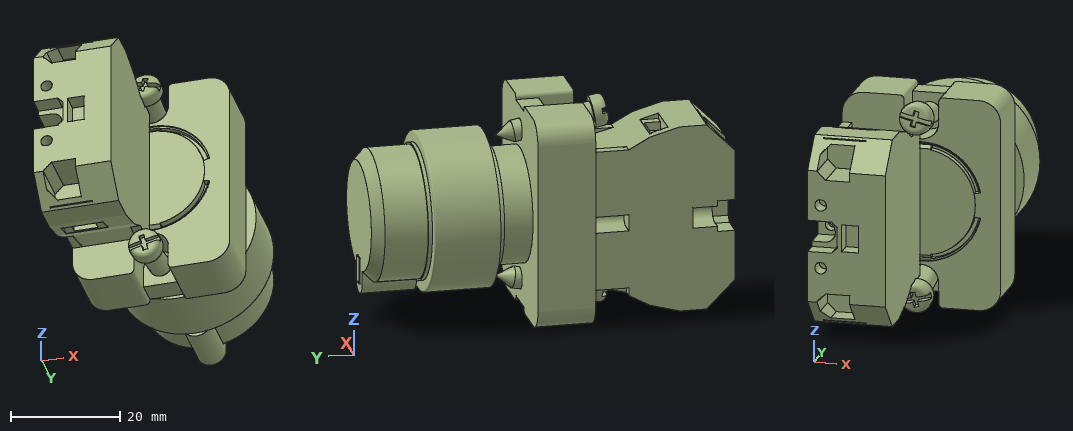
import cadquery as cq
import math


overall_length = 67.35

collar_width = 29.9
collar_height = 40.15
collar_rear = 26.1
collar_front = 37.0
collar_corner = 4.1
notch_width = 6.5
notch_bottom = 12.0
notch_edge_radius = 0.8
web_height = 19.0
web_rear = 32.65
bore_radius = 10.2
groove_radius = 11.05
groove_rim_radius = 11.4
groove_depth = 1.35
rim_depth = 0.35
bridge_half_angle = 12.5

neck_radius = 10.9
shoulder_rear = 42.55
shoulder_radius = 12.05
bezel_rear = 43.9
bezel_front = 56.2
bezel_radius = collar_width / 2
bezel_round = 0.35
seat_radius = 12.7
key_half_width = 1.75
key_height = 0.6

knob_rear = 57.0
marker_proud = 0.2
knob_front = overall_length - marker_proud
knob_radius = 12.4
knob_chamfer = 2.1
pointer_width = 5.5
marker_width = 2.1
marker_inner = 7.95
marker_outer = 12.9
marker_thickness = 0.7

screw_tilt = 10.1
screw_tip_y = 41.7
screw_tip_z = 13.55
shank_radius = 2.0
point_length = 3.4
shank_end = 18.4
head_radius = 3.0
head_height = 2.7
head_round = 1.0
drive_width = 0.95
drive_length = 2.95
drive_depth = 1.1
drive_turn = -13.0

block_left = -collar_width / 2
block_width = 14.7
block_right = block_left + block_width
waist_half = 14.15
waist_end = 19.9
flank_half = 16.3
flank_y = 15.95
belly_half = 17.85
belly_start = 10.4
belly_end = 5.3
face_half = 12.5
lip_width = 1.9
ramp_half = 12.6
hole_x = -12.45
hole_radius = 1.1
hole_spacing = 6.0
hole_depth = 3.4

terminal_left = -13.1
terminal_right = -7.0
terminal_low = 10.85
terminal_high = 16.55
terminal_corner = 1.6
terminal_depth = 8.1

window_left = -13.1
window_right = -5.2
window_front = 15.6
window_rear = 12.2
window_floor = 16.3
window_hole_left = -11.5
window_hole_right = -7.0
window_hole_front = 15.2
window_hole_depth = 2.7

channel_half = 1.95
channel_depth = 7.95
channel_hole_depth = 2.0
pocket_half = 2.95
pocket_right = -9.35
pocket_corner = 1.0
pocket_depth = 3.3
latch_half = 1.55
socket_left = -8.5
socket_right = -5.3
socket_half = 2.55
socket_depth = 3.4
slit_low = 17.3
slit_high = 17.45
slit_depth = 5.4


def box(x_range, y_range, z_range):
    """Axis-aligned block between pairs of limits."""
    low, high = zip(x_range, y_range, z_range)
    size = [b - a for a, b in zip(low, high)]
    return cq.Workplane("XY").box(*size, centered=False).translate(low)


def cylinder_y(radius, start, end, x=0, z=0):
    """Cylinder along Y from start to end."""
    return cq.Workplane("XZ", origin=(x, start, z)).circle(radius).extrude(start - end)


def prism_y(points, start, end):
    """Outline of (x, z) points carried along Y from start to end."""
    return cq.Workplane("XZ", origin=(0, start, 0)).polyline(points).close().extrude(start - end)


def prism_x(points, start, end):
    """Outline of (y, z) points carried along X from start to end."""
    return cq.Workplane("YZ", origin=(start, 0, 0)).polyline(points).close().extrude(end - start)


def mirrored_pair(shape):
    """The shape together with its reflection in the horizontal plane."""
    return shape.union(shape.mirror("XY"))


def screw_blank():
    """Pointed screw without its drive slots, tip at the origin, running along +Z."""
    shank = (
        cq.Workplane("XZ")
        .polyline([(0, 0), (shank_radius, point_length), (shank_radius, shank_end), (0, shank_end)])
        .close()
        .revolve(360, (0, 0, 0), (0, 1, 0))
    )
    head = cq.Workplane("XY", origin=(0, 0, shank_end)).circle(head_radius).extrude(head_height)
    return shank.union(head.faces(">Z").edges().fillet(head_round))


def place_screw(shape, side):
    """Lean a screw outwards and put its tip beside the neck; side is +1 above, -1 below."""
    placed = shape.rotate((0, 0, 0), (1, 0, 0), 90 - screw_tilt).translate((0, screw_tip_y, screw_tip_z))
    return placed if side > 0 else placed.mirror("XY")


def make_screw(side):
    """Clamp screw with a straight slot across its head and a short cross slot."""
    top = shank_end + head_height
    floor = cq.Workplane("XY", origin=(0, 0, top - drive_depth))
    slot = floor.rect(2 * head_radius, drive_width).extrude(head_height)
    cross = floor.rect(drive_width, drive_length).extrude(head_height)
    drive = slot.union(cross).rotate((0, 0, 0), (0, 0, 1), drive_turn)
    return place_screw(screw_blank().cut(drive), side)


def collar_notch():
    """Round-bottomed notch for the upper screw, open at the top edge."""
    half = notch_width / 2
    center_z = notch_bottom + half
    top = collar_height / 2
    round_bottom = cylinder_y(half, collar_rear, web_rear, z=center_z)
    rear = box((-half, half), (collar_rear, web_rear), (center_z, top)).union(round_bottom)
    return rear.union(box((-half, half), (web_rear, collar_front), (web_height, top)))


def bayonet_groove():
    """Two arc grooves round the bore, parted by a bridge on each side."""
    deep = cylinder_y(groove_radius, collar_rear, collar_rear + groove_depth)
    rim = cylinder_y(groove_rim_radius, collar_rear, collar_rear + rim_depth)
    reach = collar_width / 2
    rise = reach * math.tan(math.radians(bridge_half_angle))
    bridge = prism_y(
        [(0, 0), (reach, rise), (reach, -rise)],
        collar_rear,
        collar_rear + groove_depth,
    )
    return deep.union(rim).cut(bridge).cut(bridge.mirror("YZ"))


def make_collar():
    """Rounded plate with screw notches, a bore for the stem and the bayonet grooves."""
    body = box(
        (-collar_width / 2, collar_width / 2),
        (collar_rear, collar_front),
        (-collar_height / 2, collar_height / 2),
    )
    body = body.edges("|Y").fillet(collar_corner)
    body = body.cut(mirrored_pair(collar_notch()))
    margin = 0.1
    mouth = notch_width / 2 + margin
    for z in (collar_height / 2, -collar_height / 2):
        corners = cq.selectors.BoxSelector(
            (-mouth, collar_rear, z - margin), (mouth, collar_front, z + margin)
        )
        body = body.edges("|Y").edges(corners).fillet(notch_edge_radius)
    body = body.cut(cylinder_y(bore_radius, collar_rear, collar_front))
    body = body.cut(bayonet_groove())
    for side in (1, -1):
        body = body.cut(place_screw(screw_blank(), side))
    return body


def make_head():
    """Stem, neck, shoulder, bezel and knob seat, with two sloped keys on the stem end."""
    head = cylinder_y(bore_radius, collar_rear, collar_front)
    head = head.union(cylinder_y(neck_radius, collar_front, shoulder_rear))
    head = head.union(cylinder_y(shoulder_radius, shoulder_rear, bezel_rear))
    bezel = cylinder_y(bezel_radius, bezel_rear, bezel_front).faces(">Y").edges().fillet(bezel_round)
    head = head.union(bezel).union(cylinder_y(seat_radius, bezel_front, knob_rear))
    key = prism_x(
        [
            (collar_rear, 0),
            (collar_rear, bore_radius),
            (collar_rear + key_height, bore_radius + key_height),
            (collar_rear + groove_depth, bore_radius + key_height),
            (collar_rear + groove_depth, 0),
        ],
        -key_half_width,
        key_half_width,
    )
    return head.union(mirrored_pair(key))


def make_marker():
    """Flat strip set into the pointer, slightly proud of it."""
    return box(
        (-marker_width / 2, marker_width / 2),
        (overall_length - marker_thickness, overall_length),
        (-marker_outer, -marker_inner),
    )


def make_knob():
    """Round knob with a round-ended pointer reaching down to the bezel radius."""
    knob = cylinder_y(knob_radius, knob_rear, knob_front).faces(">Y").chamfer(knob_chamfer)
    half = pointer_width / 2
    tip_z = -(bezel_radius - half)
    pointer = box((-half, half), (knob_rear, knob_front), (tip_z, 0))
    pointer = pointer.union(cylinder_y(half, knob_rear, knob_front, z=tip_z))
    return knob.union(pointer).cut(make_marker())


def block_body():
    """Solid block: narrow waist at the collar, wide belly, bevelled terminal face."""
    upper = [
        (collar_rear, waist_half),
        (waist_end, waist_half),
        (flank_y, flank_half),
        (belly_start, belly_half),
        (belly_end, belly_half),
        (0, face_half),
    ]
    lower = [(y, -z) for y, z in reversed(upper)]
    return prism_x(upper + lower, block_left, block_right)


def waist_ramp():
    """Ramp between the side lips, falling towards the collar."""
    outline = [(collar_rear, ramp_half), (collar_rear, waist_half), (waist_end, waist_half)]
    return prism_x(outline, block_left + lip_width, block_right - lip_width)


def terminal_opening():
    """Cable entry with two cut corners on the outer side."""
    inner_x = terminal_left + terminal_corner
    outline = [
        (inner_x, terminal_low),
        (terminal_right, terminal_low),
        (terminal_right, terminal_high),
        (inner_x, terminal_high),
        (terminal_left, terminal_high - terminal_corner),
        (terminal_left, terminal_low + terminal_corner),
    ]
    return prism_y(outline, 0, terminal_depth)


def window():
    """Shallow recess in the sloped shoulder with a deeper hole in its floor."""
    recess = box((window_left, window_right), (window_rear, window_front), (window_floor, belly_half))
    hole = box(
        (window_hole_left, window_hole_right),
        (window_rear, window_hole_front),
        (window_floor - window_hole_depth, belly_half),
    )
    return recess.union(hole)


def slope_slit():
    """Fine slit along X in the sloped end face, as long as the window."""
    return box((window_left, window_right), (0, slit_depth), (slit_low, slit_high))


def side_channel(half, start, end):
    """Slot along Y, open at the left side, with a round inner wall round the hole axis."""
    flat = box((block_left, hole_x), (start, end), (-half, half))
    return flat.union(cylinder_y(half, start, end, x=hole_x))


def face_pocket():
    """Pocket in the terminal face, open at the left side, with two cut corners."""
    outline = [
        (block_left, pocket_half),
        (pocket_right - pocket_corner, pocket_half),
        (pocket_right, pocket_half - pocket_corner),
        (pocket_right, pocket_corner - pocket_half),
        (pocket_right - pocket_corner, -pocket_half),
        (block_left, -pocket_half),
    ]
    return prism_y(outline, 0, pocket_depth)


def make_block():
    """Contact block with its openings and clearance for the screw heads in the waist lips."""
    body = block_body()
    for feature in (waist_ramp(), terminal_opening(), window(), slope_slit()):
        body = body.cut(mirrored_pair(feature))
    lower_lip = box(
        (block_left, block_left + lip_width), (waist_end, collar_rear), (-waist_half, -ramp_half)
    )
    body = body.cut(lower_lip)
    body = body.cut(side_channel(latch_half, waist_end, collar_rear))
    body = body.cut(face_pocket())
    body = body.cut(side_channel(channel_half, 0, channel_depth))
    body = body.cut(cylinder_y(hole_radius, channel_depth, channel_depth + channel_hole_depth, x=hole_x))
    for z in (hole_spacing, -hole_spacing):
        body = body.cut(cylinder_y(hole_radius, 0, hole_depth, x=hole_x, z=z))
    socket = box((socket_left, socket_right), (0, socket_depth), (-socket_half, socket_half))
    body = body.cut(socket)
    for side in (1, -1):
        body = body.cut(place_screw(screw_blank(), side))
    return body


collar = make_collar()
head = make_head()
knob = make_knob()
marker = make_marker()
block = make_block()
screws = [make_screw(side) for side in (1, -1)]

result = cq.Compound.makeCompound(
    [collar.val(), head.val(), knob.val(), marker.val(), block.val(), *[screw.val() for screw in screws]]
)